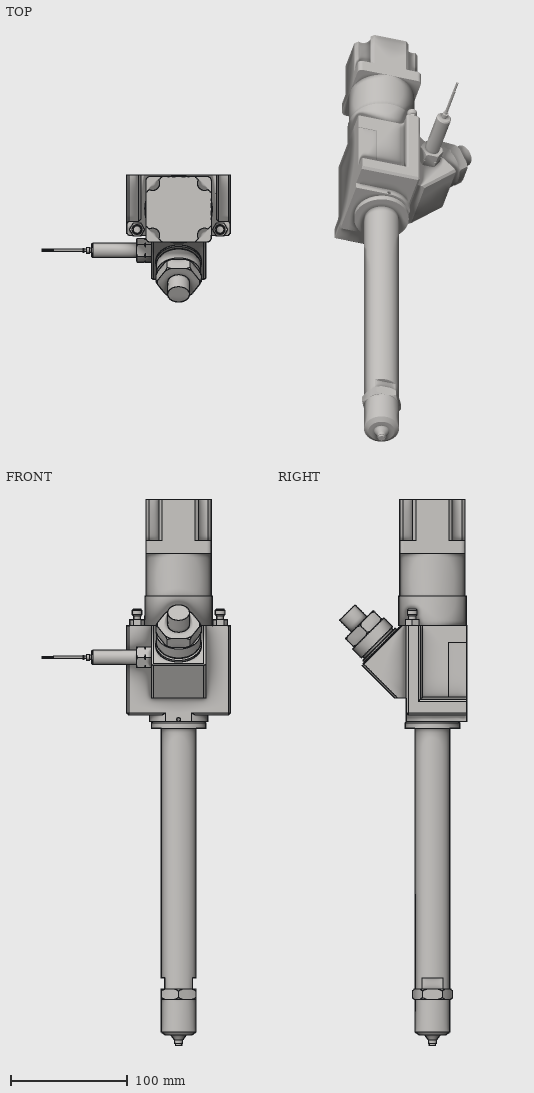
import cadquery as cq
import math

total_height = 468.0

tube_diameter = 30.0
tube_flat_width = 24.0
tube_flat_top_z = 58.0
collar_top_z = 48.5
collar_bottom_z = 39.5
collar_corner_chamfer = 2.0
cap_bottom_z = 11.5
cap_face_z = 9.0
cap_face_diameter = 22.5
cone_base_diameter = 13.0
cone_end_z = 4.5
nozzle_diameter = 7.0
tip_z = 2.0
tip_diameter = 5.5

block_width = 89.0
block_back_y = 29.5
block_front_y = -22.5
block_top_z = 360.0
block_bottom_z = 283.2
block_edge_chamfer = 2.0
recess_wall_x = 32.5
column_back_y = -10.5
ledge_top_z = 297.0
recess_bevel = 2.0
side_pocket_front_y = 13.5
side_pocket_top_z = 345.5
side_pocket_depth = 0.5

neck_width = 50.0
neck_bottom_z = 277.5
flange_diameter = 47.0
flange_bottom_z = 272.0
flange_chamfer = 1.0
set_screw_diameter = 3.5
set_screw_z = 279.5
set_screw_depth = 3.0

motor_width = 56.0
motor_corner_cut = 14.0
motor_groove_diameter = 12.0
motor_groove_spacing = 44.5
motor_flange_top_z = 433.0
motor_flange_bottom_z = 422.0
motor_flange_corner_radius = 3.7
adapter_top_z = 385.5
adapter_diameter = 58.0

fitting_x = 35.5
fitting_y = -17.5
fitting_base_diameter = 11.2
fitting_base_height = 5.0
fitting_stem_diameter = 6.0
fitting_head_diameter = 8.5
fitting_head_height = 5.5
fitting_height = 14.0
fitting_chamfer = 1.0

housing_width = 47.0
housing_bottom_z = 297.8
housing_bottom_y = -32.5
housing_tip_y = -61.0
housing_tip_z = housing_bottom_z + housing_bottom_y - housing_tip_y
housing_edge_chamfer = 2.0
plate_thickness = 1.0
plate_inset = 2.0

connector_centre_y = -44.5
connector_ring_diameter = 39.5
connector_ring_end = 2.0
connector_foot_diameter = 34.5
connector_foot_end = 4.0
connector_body_diameter = 38.0
connector_body_end = 15.0
connector_nut_flats = 33.5
connector_nut_end = 25.7
connector_nut_chamfer = 1.5
connector_pin_diameter = 18.5
connector_pin_end = 40.3

sensor_y = -35.0
sensor_z = 333.0
sensor_nut_flats = 18.0
sensor_inner_nut_end_x = -28.5
sensor_outer_nut_end_x = -36.0
sensor_nut_chamfer = 1.0
sensor_barrel_end_x = -74.5
sensor_barrel_diameter = 12.5
sensor_barrel_chamfer = 1.0
sensor_neck_end_x = -76.5
sensor_neck_diameter = 4.0
sensor_boot_end_x = -79.0
sensor_boot_diameter = 5.0
sensor_ring_start_x = -81.0
sensor_ring_end_x = -82.0
sensor_ring_diameter = 3.4
cable_end_x = -107.0
cable_diameter = 2.5
wire_end_x = -117.0
wire_diameter = 1.0
wire_count = 3
wire_overlap = 4.5
wire_ring_radius = 0.6


def hex_corner_diameter(flats):
    return 2 * flats / math.sqrt(3)


def vertical_cylinder(diameter, z_low, z_high):
    return cq.Workplane("XY").workplane(offset=z_low).circle(diameter / 2).extrude(z_high - z_low)


def box_between(x_low, x_high, y_low, y_high, z_low, z_high):
    size = (x_high - x_low, y_high - y_low, z_high - z_low)
    return cq.Workplane("XY").box(*size, centered=False).translate((x_low, y_low, z_low))


def chamfered_hex(plane, flats, length, chamfer):
    """Hexagonal nut whose corners are turned down at both ends."""
    corner_diameter = hex_corner_diameter(flats)
    nut = cq.Workplane(plane).polygon(6, corner_diameter).extrude(length)
    turned = cq.Workplane(plane).circle(corner_diameter / 2).extrude(length)
    return nut.intersect(turned.edges().chamfer(chamfer))


def make_tube():
    tube = vertical_cylinder(tube_diameter, collar_bottom_z, flange_bottom_z)
    for side in (-1, 1):
        flat_x = side * tube_flat_width / 2
        outside_x = side * tube_diameter
        tube = tube.cut(
            box_between(
                min(flat_x, outside_x), max(flat_x, outside_x),
                -tube_diameter, tube_diameter,
                collar_bottom_z, tube_flat_top_z,
            )
        )
    collar_plane = cq.Plane(origin=(0, 0, collar_bottom_z), xDir=(0, 1, 0), normal=(0, 0, 1))
    collar_height = collar_top_z - collar_bottom_z
    return tube.union(chamfered_hex(collar_plane, tube_diameter, collar_height, collar_corner_chamfer))


def make_nozzle():
    profile = [
        (0, 0),
        (tip_diameter / 2, 0),
        (tip_diameter / 2, tip_z),
        (nozzle_diameter / 2, tip_z),
        (nozzle_diameter / 2, cone_end_z),
        (cone_base_diameter / 2, cap_face_z),
        (cap_face_diameter / 2, cap_face_z),
        (tube_diameter / 2, cap_bottom_z),
        (tube_diameter / 2, collar_bottom_z),
        (0, collar_bottom_z),
    ]
    return cq.Workplane("XZ").polyline(profile).close().revolve(360, (0, 0, 0), (0, 1, 0))


def make_side_recess(side):
    """Cutter for one side of the block, open to the back and the top, with a bevelled rim and foot."""
    outer_x = block_width / 2
    recess_depth = outer_x - recess_wall_x
    length = 2 * (block_back_y - column_back_y)
    height = 2 * (block_top_z - ledge_top_z)
    plane = cq.Plane(
        origin=(side * outer_x, block_back_y, block_top_z), xDir=(0, 1, 0), normal=(-side, 0, 0)
    )
    recess = cq.Workplane(plane).rect(length, height).extrude(recess_depth)
    recess = recess.faces("<X" if side > 0 else ">X").chamfer(recess_bevel)
    rim = (
        cq.Workplane(plane)
        .rect(length + 2 * recess_bevel, height + 2 * recess_bevel)
        .extrude(recess_bevel, taper=45)
    )
    return recess.union(rim)


def make_side_pocket(side):
    """Shallow step in the recess wall, along the back of the block."""
    floor_x = side * (recess_wall_x - side_pocket_depth)
    wall_x = side * recess_wall_x
    return box_between(
        min(floor_x, wall_x), max(floor_x, wall_x),
        side_pocket_front_y, block_back_y,
        ledge_top_z + recess_bevel, side_pocket_top_z,
    )


def make_block():
    half_width = block_width / 2
    block = box_between(
        -half_width, half_width, block_front_y, block_back_y, block_bottom_z, block_top_z
    )
    block = block.edges("(|Z and <Y) or (<Z and (|Y or <Y))").chamfer(block_edge_chamfer)
    for side in (-1, 1):
        block = block.cut(make_side_recess(side)).cut(make_side_pocket(side))
    return block


def make_neck():
    """U-shaped neck, square at the back and trimmed flush with the block front."""
    overlap_z = block_bottom_z + block_edge_chamfer
    half_width = neck_width / 2
    neck = vertical_cylinder(neck_width, neck_bottom_z, overlap_z)
    neck = neck.union(
        box_between(-half_width, half_width, 0, block_back_y, neck_bottom_z, overlap_z)
    )
    neck = neck.intersect(
        box_between(-half_width, half_width, block_front_y, block_back_y, neck_bottom_z, overlap_z)
    )
    flange = vertical_cylinder(flange_diameter, flange_bottom_z, neck_bottom_z)
    return neck.union(flange.faces(">Z").chamfer(flange_chamfer))


def make_set_screw_holes():
    """Blind holes in the front and the left side of the neck."""
    front_plane = cq.Plane(origin=(0, block_front_y, set_screw_z), xDir=(1, 0, 0), normal=(0, 1, 0))
    left_plane = cq.Plane(origin=(-neck_width / 2, 0, set_screw_z), xDir=(0, 1, 0), normal=(1, 0, 0))
    front_hole = cq.Workplane(front_plane).circle(set_screw_diameter / 2).extrude(set_screw_depth)
    left_hole = cq.Workplane(left_plane).circle(set_screw_diameter / 2).extrude(set_screw_depth)
    return front_hole.union(left_hole)


def make_motor():
    adapter = vertical_cylinder(adapter_diameter, block_top_z, adapter_top_z)
    gearbox = vertical_cylinder(motor_width, adapter_top_z, motor_flange_bottom_z)
    flange = (
        cq.Workplane("XY")
        .workplane(offset=motor_flange_bottom_z)
        .rect(motor_width, motor_width)
        .extrude(motor_flange_top_z - motor_flange_bottom_z)
        .edges("|Z")
        .fillet(motor_flange_corner_radius)
    )
    body_height = total_height - motor_flange_top_z
    body = (
        cq.Workplane("XY")
        .workplane(offset=motor_flange_top_z)
        .rect(motor_width, motor_width)
        .extrude(body_height)
        .edges("|Z")
        .chamfer(motor_corner_cut)
    )
    grooves = (
        cq.Workplane("XY")
        .workplane(offset=motor_flange_top_z)
        .rect(motor_groove_spacing, motor_groove_spacing, forConstruction=True)
        .vertices()
        .circle(motor_groove_diameter / 2)
        .extrude(body_height)
    )
    return adapter.union(gearbox).union(flange).union(body.cut(grooves))


def make_fitting(x):
    base_top_z = block_top_z + fitting_base_height
    top_z = block_top_z + fitting_height
    head_bottom_z = top_z - fitting_head_height
    base_corner = hex_corner_diameter(fitting_base_diameter)
    base = (
        cq.Workplane("XY")
        .workplane(offset=block_top_z)
        .polygon(6, base_corner)
        .extrude(fitting_base_height)
    )
    stem = vertical_cylinder(fitting_stem_diameter, base_top_z, head_bottom_z)
    head = vertical_cylinder(fitting_head_diameter, head_bottom_z, top_z).edges().chamfer(fitting_chamfer)
    return base.union(stem).union(head).translate((x, fitting_y, 0))


def make_housing_prism(face_drop, tip_inset, width):
    """Housing outline extruded along X.

    The tilted face is lowered along its normal by face_drop, and the tip is
    moved up the tilted face by tip_inset.
    """
    tip_y = housing_tip_y + (face_drop + tip_inset) / math.sqrt(2)
    tip_z = housing_tip_z + (tip_inset - face_drop) / math.sqrt(2)
    outline = [
        (0, housing_bottom_z),
        (housing_bottom_y, housing_bottom_z),
        (tip_y, tip_z),
        (tip_y + block_top_z - tip_z, block_top_z),
        (0, block_top_z),
    ]
    return cq.Workplane("YZ").polyline(outline).close().extrude(width / 2, both=True)


def make_housing():
    """Housing with chamfered lower slope and a slightly smaller plate on its tilted face."""
    lower_slope = cq.selectors.DirectionMinMaxSelector(cq.Vector(0, -1, -1), True)
    body = make_housing_prism(plate_thickness, 0, housing_width)
    body = body.faces(lower_slope).edges("not |X").chamfer(housing_edge_chamfer)
    plate = make_housing_prism(0, plate_inset, housing_width - 2 * plate_inset)
    return body.union(plate)


def make_connector():
    centre_z = housing_tip_z + connector_centre_y - housing_tip_y

    def plane_at(distance):
        offset = distance / math.sqrt(2)
        origin = (0, connector_centre_y - offset, centre_z + offset)
        return cq.Plane(origin=origin, xDir=(1, 0, 0), normal=(0, -1, 1))

    def step(diameter, start, end):
        return cq.Workplane(plane_at(start)).circle(diameter / 2).extrude(end - start)

    connector = step(connector_ring_diameter, -plate_thickness, connector_ring_end)
    connector = connector.union(step(connector_foot_diameter, connector_ring_end, connector_foot_end))
    connector = connector.union(step(connector_body_diameter, connector_foot_end, connector_body_end))
    nut_length = connector_nut_end - connector_body_end
    connector = connector.union(
        chamfered_hex(
            plane_at(connector_body_end), connector_nut_flats, nut_length, connector_nut_chamfer
        )
    )
    return connector.union(step(connector_pin_diameter, connector_nut_end, connector_pin_end))


def sensor_plane(x):
    return cq.Plane(origin=(x, sensor_y, sensor_z), xDir=(0, 1, 0), normal=(-1, 0, 0))


def make_sensor():
    def step(diameter, start_x, end_x):
        return cq.Workplane(sensor_plane(start_x)).circle(diameter / 2).extrude(start_x - end_x)

    inner_nut_start_x = -housing_width / 2
    inner_nut = (
        cq.Workplane(sensor_plane(inner_nut_start_x))
        .polygon(6, hex_corner_diameter(sensor_nut_flats))
        .extrude(inner_nut_start_x - sensor_inner_nut_end_x)
    )
    outer_nut = chamfered_hex(
        sensor_plane(sensor_inner_nut_end_x),
        sensor_nut_flats,
        sensor_inner_nut_end_x - sensor_outer_nut_end_x,
        sensor_nut_chamfer,
    )
    barrel = step(sensor_barrel_diameter, sensor_outer_nut_end_x, sensor_barrel_end_x)
    barrel = barrel.faces("<X").chamfer(sensor_barrel_chamfer)
    sensor = inner_nut.union(outer_nut).union(barrel)
    sensor = sensor.union(step(sensor_neck_diameter, sensor_barrel_end_x, sensor_neck_end_x))
    sensor = sensor.union(step(sensor_boot_diameter, sensor_neck_end_x, sensor_boot_end_x))
    sensor = sensor.union(step(sensor_ring_diameter, sensor_ring_start_x, sensor_ring_end_x))
    sensor = sensor.union(step(cable_diameter, sensor_boot_end_x, cable_end_x))
    wire_start_x = cable_end_x + wire_overlap
    wires = (
        cq.Workplane(sensor_plane(wire_start_x))
        .polarArray(wire_ring_radius, 90, 360, wire_count)
        .circle(wire_diameter / 2)
        .extrude(wire_start_x - wire_end_x)
    )
    return sensor.union(wires)


result = make_block().union(make_neck()).cut(make_set_screw_holes())
result = result.union(make_tube()).union(make_nozzle()).union(make_motor())
for side in (-1, 1):
    result = result.union(make_fitting(side * fitting_x))
result = result.union(make_housing()).union(make_connector()).union(make_sensor())